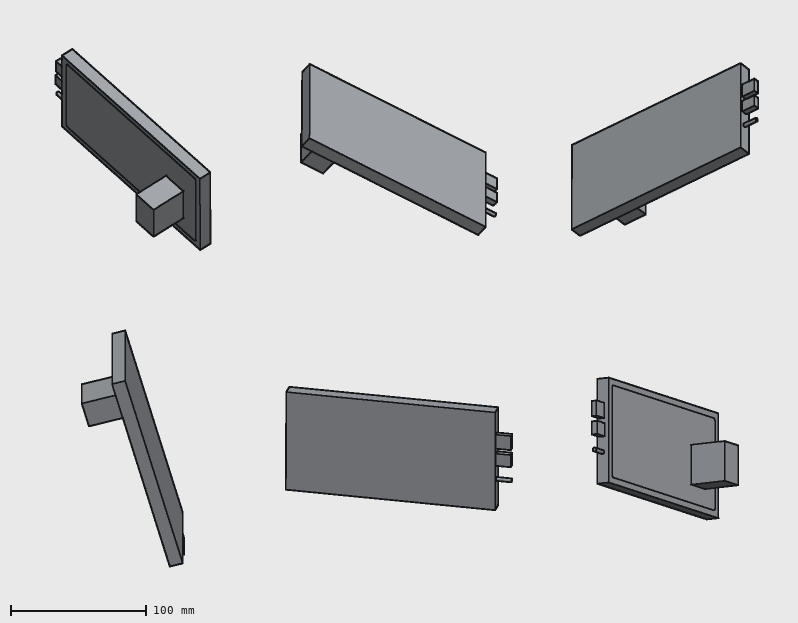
import cadquery as cq


plug_reach = 11.5
overall_length = 170.5
housing_length = overall_length - plug_reach
right_side_taper = 0.3
housing_height = 79.0
housing_depth = 10.0

panel_width = 149.2
panel_height = 69.4
panel_left = 5.0
panel_bottom = (housing_height - panel_height) / 2
panel_corner_radius = 2.0
panel_depth = 1.7

overall_depth = 38.7
block_reach = overall_depth - housing_depth
block_width = 20.0
block_height = 30.0
block_left = 119.7
block_bottom = 18.6

upper_plug_thickness = 4.3
upper_plug_height = 11.5
upper_plug_bottom = 48.8
lower_plug_thickness = 4.8
lower_plug_height = 9.9
lower_plug_bottom = 35.0
plug_back = 8.0
pin_diameter = 3.0
pin_y = 5.5
pin_z = 23.4


def box_at(x, y, z, length, depth, height):
    """Box with its lowest X, Y, Z corner at the given point."""
    return cq.Workplane("XY").box(length, depth, height, centered=False).translate((x, y, z))


def make_panel_plate():
    """Plate with rounded corners, its front face at Y = 0."""
    plate = box_at(panel_left, 0, panel_bottom, panel_width, panel_depth, panel_height)
    return plate.edges("|Y").fillet(panel_corner_radius)


def make_rectangular_plug(thickness, height, bottom):
    return box_at(-plug_reach, plug_back - thickness, bottom, plug_reach, thickness, height)


def make_round_pin():
    return (
        cq.Workplane("YZ", origin=(-plug_reach, pin_y, pin_z))
        .circle(pin_diameter / 2)
        .extrude(plug_reach)
    )


def make_block():
    """Block rising from the recess floor and standing out in front of the housing."""
    length = block_reach + panel_depth
    return box_at(block_left, -block_reach, block_bottom, block_width, length, block_height)


def make_housing():
    """Slab with a slightly tapered right side, a recess for the panel, the block and the plugs."""
    outline = [
        (0, 0),
        (housing_length, 0),
        (housing_length - right_side_taper, housing_height),
        (0, housing_height),
    ]
    slab = cq.Workplane("XZ").polyline(outline).close().extrude(-housing_depth)
    return (
        slab.cut(make_panel_plate())
        .union(make_block())
        .union(make_rectangular_plug(upper_plug_thickness, upper_plug_height, upper_plug_bottom))
        .union(make_rectangular_plug(lower_plug_thickness, lower_plug_height, lower_plug_bottom))
        .union(make_round_pin())
    )


def make_panel():
    """Inset plate with a matching opening that the block passes through."""
    return make_panel_plate().cut(make_block())


housing = make_housing()
panel = make_panel()

result = cq.Compound.makeCompound([housing.val(), panel.val()])